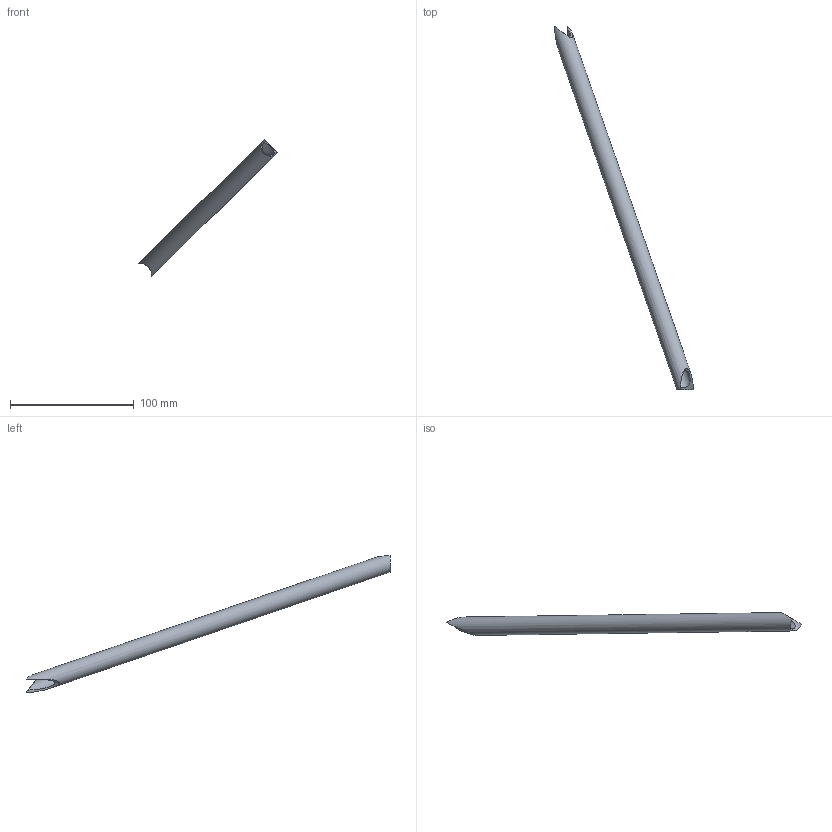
import cadquery as cq
import math

TUBE_DIAMETER = 15.0
WALL = 1.5

PLAN_RUN = 148.92
DEPTH_RUN = 304.93
CLIMB_ANGLE = 44.48

CHORD_DIAMETER = 20.0
CHORD_SLOPE = 26.0

OVERRUN = 60.0

tube_radius = TUBE_DIAMETER / 2
bore_radius = tube_radius - WALL
chord_radius = CHORD_DIAMETER / 2

climb = math.radians(CLIMB_ANGLE)
chord_slope = math.radians(CHORD_SLOPE)

z_axis = cq.Vector(0, 0, 1)
y_axis = cq.Vector(0, 1, 0)
climb_direction = cq.Vector(math.cos(climb), 0, math.sin(climb))

node = cq.Vector(0, 0, 0)
apex = climb_direction * PLAN_RUN - y_axis * DEPTH_RUN
tube_direction = (apex - node).normalized()
mirrored_direction = cq.Vector(tube_direction.x, -tube_direction.y, tube_direction.z)
sloping_direction = climb_direction * math.cos(chord_slope) - y_axis * math.sin(chord_slope)


def long_cylinder(radius, first, last, direction):
    """Cylinder from first to last, lengthened by OVERRUN at both ends."""
    length = (last - first).Length + 2 * OVERRUN
    level_side = z_axis.cross(direction)
    base = cq.Plane(first - direction * OVERRUN, level_side, direction)
    return cq.Workplane(base).circle(radius).extrude(length)


def overlong_tube():
    outside = long_cylinder(tube_radius, node, apex, tube_direction)
    bore = long_cylinder(bore_radius, node, apex, tube_direction)
    return outside.cut(bore)


def notch_for_chords(tube):
    """Shape the +Y end to fit against both chord tubes."""
    for direction in (y_axis, sloping_direction):
        tube = tube.cut(long_cylinder(chord_radius, node, node, direction))
    return tube


def notch_for_mirrored_tube(tube):
    """Shape the -Y end to fit a tube that is its mirror image about the XZ plane through the apex."""
    return tube.cut(long_cylinder(tube_radius, apex, apex, mirrored_direction))


def middle_piece(pieces):
    """Keep the stretch between the two notched ends and drop the waste beyond them."""
    middle = (node + apex) * 0.5
    return min(pieces.solids().vals(), key=lambda piece: (piece.Center() - middle).Length)


notched = notch_for_mirrored_tube(notch_for_chords(overlong_tube()))
result = cq.Workplane(middle_piece(notched))